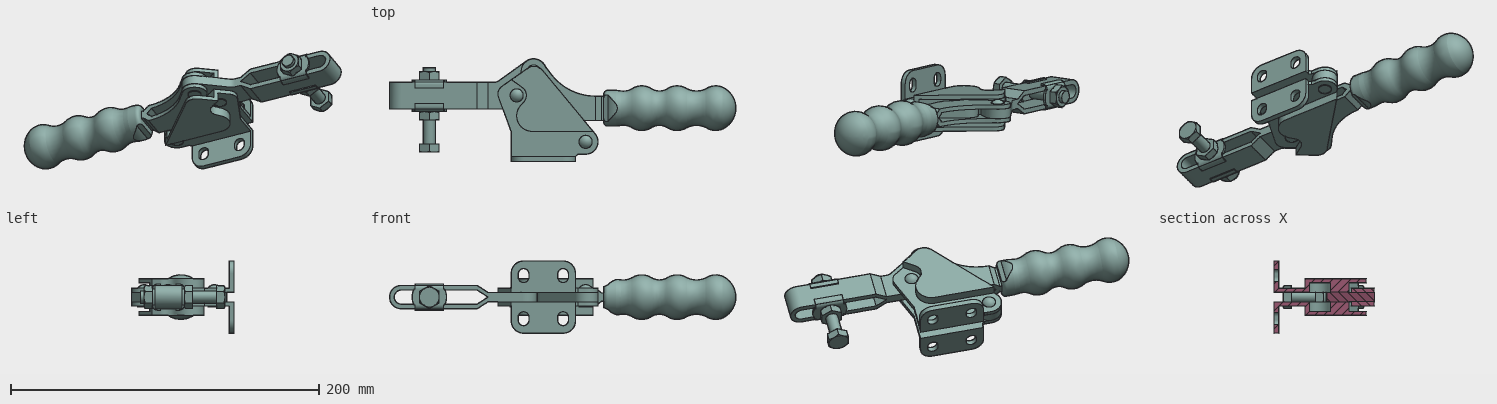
import cadquery as cq
import math

overall_length = 225.0
beyond = 135.0

arm_pivot = (82.5, 43.0)
base_pivot = (127.4, 12.8)
apex_pivot = (93.6, 58.5)
link_pivot = (104.2, 40.5)
rivet_radius = 2.7
head_radius = 4.3
head_height = 2.3
flat_head_height = 0.7

arm_half = 3.2
sheet = 2.7
sheet_top = arm_half + sheet
pad_top = 12.0

flange_left = 79.0
flange_right = 120.9
flange_thickness = 3.4
flange_width = 47.0
flange_corner = 8.0
slot_size = (9.0, 6.8)
slot_centers_x = (87.0, 112.8)
slot_center_z = 14.0
ear_radius = 8.0
base_apex = (93.9, 54.7, 7.2)
front_corner = (76.5, 43.9, 6.0)
front_edge_top = 19.4
relief = 1.5
pad_bottom = 19.5
pad_left = 82.5
pad_corner_radius = 10.1
pad_clearance = 6.3
pad_edge_start = (72.0, 58.5)
pad_far_corner = (139.5, 72.0)

arm_bottom = 34.0
arm_top = 51.5
strap_half = 7.7
strap_gap = strap_half - arm_half
arm_taper_start = 57.0
arm_taper_end = 64.0
arm_heel_radius = 8.8
arm_back = 95.7
arm_back_top = 46.1
arm_apex_radius = 8.3
arm_bend = (68.0, 5.2)

bar_bottom = 26.5
bar_top = 42.5
bar_end = 148.5
bar_eye_radius = 8.0
bar_sweep = (133.7, 36.0)
bar_corner = 112.5
bar_taper_start = 134.0
bar_taper_end = 137.7
bar_gap_end = 135.0

grip_axis_y = 34.7
grip_start = 139.0
collar_radius = 11.7
collar_end = 147.2
collar_round = 2.7
neck_radius = 11.3
first_neck = 150.5
bulge_radius = 14.6
bulge_edge_radius = 12.5
bulge_half_length = 6.5
bulge_centers = (163.8, 186.8, 212.0)
dome_start = 216.5
dome_radius = 15.0
flat_start_z = 6.8
flat_bend = (142.0, 8.0)
flat_curve_middle = (145.2, 10.5)
flat_end = (148.5, collar_radius)

spindle_x = 25.9
spindle_radius = 4.0
spindle_bottom = 6.0
spindle_top = 61.0
hex_radius = 7.5
hex_inner_radius = hex_radius * math.cos(math.pi / 6)
hex_bevel_height = 0.7
hex_height = 5.5
washer_radius = 11.3
washer_thickness = 1.5
washer_half = 8.5
washer_tab_length = 18.5
washer_tab_overlap = 3.8
washer_bend_radius = 3.4


def belt(discs):
    """Closed counter-clockwise outline around discs (x, y, radius), joined by tangent lines.

    A radius of zero is a sharp corner; a negative radius is a hollow that the outline
    passes on its other side.
    """
    headings = []
    for i, (x1, y1, r1) in enumerate(discs):
        x2, y2, r2 = discs[(i + 1) % len(discs)]
        distance = math.hypot(x2 - x1, y2 - y1)
        headings.append(math.atan2(y2 - y1, x2 - x1) + math.asin((r1 - r2) / distance))

    def on_disc(disc, heading):
        x, y, radius = disc
        return (x + radius * math.sin(heading), y - radius * math.cos(heading))

    outline = cq.Workplane("XY").moveTo(*on_disc(discs[0], headings[-1]))
    for i, disc in enumerate(discs):
        before = headings[i - 1]
        after = headings[i]
        if i > 0:
            outline = outline.lineTo(*on_disc(disc, before))
        if disc[2] != 0:
            side = math.copysign(1, disc[2])
            turn = side * ((side * (after - before)) % (2 * math.pi))
            outline = outline.threePointArc(on_disc(disc, before + turn / 2), on_disc(disc, after))
    return outline.close().val()


def layer(outline, bottom, top):
    """Plate of the given outline between two heights."""
    plate = cq.Workplane("XY").add(outline).toPending().extrude(top - bottom)
    return plate.translate((0, 0, bottom))


def both_sides(body):
    return body.union(body.mirror("XY"))


def rivet(pivot):
    """Shank with a domed head on the upper sheet face and a flat head on the lower one."""
    cap_radius = (head_radius**2 + head_height**2) / (2 * head_height)
    flat_bottom = -sheet_top - flat_head_height
    body = (
        cq.Workplane("XZ")
        .moveTo(0, flat_bottom)
        .lineTo(head_radius, flat_bottom)
        .lineTo(head_radius, -sheet_top)
        .lineTo(rivet_radius, -sheet_top)
        .lineTo(rivet_radius, sheet_top)
        .lineTo(head_radius, sheet_top)
        .radiusArc((0, sheet_top + head_height), -cap_radius)
        .close()
        .revolve(360, (0, 0), (0, 1))
    )
    return body.translate((*pivot, 0))


def rivet_hole(pivot):
    return cq.Workplane("XY").center(*pivot).circle(rivet_radius).extrude(beyond, both=True)


def side_profile(points):
    """Prism along Y of a profile in X and Z."""
    return cq.Workplane("XZ").polyline(points).close().extrude(beyond, both=True)


def make_base():
    outline = belt([
        (flange_left, 0, 0),
        (flange_right, 0, 0),
        (flange_right, flange_thickness, 0),
        (flange_right + relief, base_pivot[1] - ear_radius, 0),
        (*base_pivot, ear_radius),
        base_apex,
        front_corner,
        (flange_left, front_edge_top, 0),
    ])
    pad_area = belt([
        (pad_left + pad_corner_radius, pad_bottom + pad_corner_radius, pad_corner_radius),
        (pad_far_corner[0], pad_bottom, 0),
        (*pad_far_corner, 0),
        (pad_edge_start[0], pad_far_corner[1], 0),
        (*pad_edge_start, 0),
        (*arm_pivot, -pad_clearance),
    ])
    block = layer(outline, arm_half, pad_top)
    above_low_area = layer(outline, sheet_top, pad_top).cut(layer(pad_area, 0, pad_top))
    under_pad = layer(pad_area.offset2D(-sheet)[0], arm_half, pad_top - sheet)
    side = block.cut(above_low_area).cut(under_pad)

    flange = (
        cq.Workplane("XY")
        .box(flange_right - flange_left, flange_thickness, flange_width)
        .edges("|Y")
        .fillet(flange_corner)
        .translate(((flange_left + flange_right) / 2, flange_thickness / 2, 0))
    )
    gap = cq.Workplane("XY").box(4 * beyond, 4 * beyond, 2 * arm_half)
    slots = (
        cq.Workplane("XZ")
        .pushPoints([(x, z) for x in slot_centers_x for z in (-slot_center_z, slot_center_z)])
        .slot2D(*slot_size, angle=90)
        .extrude(-flange_thickness)
    )
    base = both_sides(side).union(flange.cut(gap).cut(slots))
    return base.union(rivet(arm_pivot)).union(rivet(base_pivot))


def make_arm():
    bend_x, bend_radius = arm_bend
    outline = belt([
        (0, arm_bottom, 0),
        (arm_back - arm_heel_radius, arm_bottom + arm_heel_radius, arm_heel_radius),
        (arm_back, arm_back_top, 0),
        (*apex_pivot, arm_apex_radius),
        (bend_x, arm_top + bend_radius, -bend_radius),
        (0, arm_top, 0),
    ])
    strap = (
        cq.Workplane("XZ")
        .moveTo(strap_half, -strap_half)
        .lineTo(arm_taper_start, -strap_half)
        .lineTo(arm_taper_end, -arm_half)
        .lineTo(beyond, -arm_half)
        .lineTo(beyond, arm_half)
        .lineTo(arm_taper_end, arm_half)
        .lineTo(arm_taper_start, strap_half)
        .lineTo(strap_half, strap_half)
        .threePointArc((0, 0), (strap_half, -strap_half))
        .close()
        .extrude(beyond, both=True)
    )
    opening = (
        cq.Workplane("XZ")
        .moveTo(strap_half, -strap_gap)
        .lineTo(arm_taper_start, -strap_gap)
        .lineTo(arm_taper_end, 0)
        .lineTo(arm_taper_start, strap_gap)
        .lineTo(strap_half, strap_gap)
        .threePointArc((arm_half, 0), (strap_half, -strap_gap))
        .close()
        .extrude(beyond, both=True)
    )
    arm = layer(outline, -strap_half, strap_half).intersect(strap).cut(opening)
    return arm.cut(rivet_hole(arm_pivot)).cut(rivet_hole(apex_pivot))


def make_link():
    outline = belt([(*base_pivot, ear_radius), (*link_pivot, ear_radius)])
    return layer(outline, -arm_half, arm_half).cut(rivet_hole(base_pivot))


def make_bar():
    sweep_x, sweep_radius = bar_sweep
    outline = belt([
        (bar_corner, bar_bottom, 0),
        (bar_end, bar_bottom, 0),
        (bar_end, bar_top, 0),
        (sweep_x, bar_top + sweep_radius, -sweep_radius),
        (*apex_pivot, bar_eye_radius),
        (*link_pivot, bar_eye_radius),
    ])
    sheets = side_profile([
        (0, -sheet_top),
        (bar_taper_start, -sheet_top),
        (bar_taper_end, -sheet),
        (bar_end, -sheet),
        (bar_end, sheet),
        (bar_taper_end, sheet),
        (bar_taper_start, sheet_top),
        (0, sheet_top),
    ])
    gap_narrows = bar_gap_end - arm_half
    between = side_profile([
        (0, -arm_half),
        (gap_narrows, -arm_half),
        (bar_gap_end, 0),
        (gap_narrows, arm_half),
        (0, arm_half),
    ])
    return layer(outline, -sheet_top, sheet_top).intersect(sheets).cut(between).union(rivet(apex_pivot))


def make_grip():
    profile = (
        cq.Workplane("XY")
        .moveTo(grip_start, 0)
        .lineTo(grip_start, collar_radius - collar_round)
        .radiusArc((grip_start + collar_round, collar_radius), collar_round)
        .lineTo(collar_end, collar_radius)
        .lineTo(first_neck, neck_radius)
    )
    for i, center in enumerate(bulge_centers):
        start = (center - bulge_half_length, bulge_edge_radius)
        if i == 0:
            profile = profile.tangentArcPoint(start, relative=False)
        else:
            neck = (bulge_centers[i - 1] + center) / 2
            profile = profile.threePointArc((neck, neck_radius), start)
        if i < len(bulge_centers) - 1:
            end = (center + bulge_half_length, bulge_edge_radius)
        else:
            dome_center = overall_length - dome_radius
            end = (dome_start, math.sqrt(dome_radius**2 - (dome_start - dome_center) ** 2))
        profile = profile.threePointArc((center, bulge_radius), end)
    dome_middle = dome_radius * math.sqrt(0.5)
    profile = profile.threePointArc((dome_center + dome_middle, dome_middle), (overall_length, 0)).close()
    grip = profile.revolve(360, (0, 0), (1, 0)).translate((0, grip_axis_y, 0))

    flat = (
        cq.Workplane("XZ")
        .moveTo(grip_start, flat_start_z)
        .lineTo(*flat_bend)
        .threePointArc(flat_curve_middle, flat_end)
        .lineTo(flat_end[0], beyond)
        .lineTo(grip_start, beyond)
        .close()
        .extrude(beyond, both=True)
    )
    return grip.cut(both_sides(flat))


def upright(body, y):
    return body.translate((spindle_x, y, 0))


def nut():
    """Hexagonal prism standing on Y = 0, with the corners of its upper end bevelled."""
    prism = cq.Workplane("XZ").polygon(6, 2 * hex_radius).extrude(-hex_height)
    prism = prism.rotate((0, 0, 0), (0, 1, 0), 90)
    bevel_bottom = hex_height - hex_bevel_height
    envelope = (
        cq.Workplane("XY")
        .polyline([
            (0, 0),
            (hex_radius, 0),
            (hex_radius, bevel_bottom),
            (hex_inner_radius, hex_height),
            (0, hex_height),
        ])
        .close()
        .revolve(360, (0, 0), (0, 1))
    )
    return prism.intersect(envelope)


def washer():
    """Flanged washer lying on Y = 0, with its tabs reaching upwards over the sides of the arm."""
    height = washer_thickness + washer_tab_overlap
    disc = cq.Workplane("XZ").circle(washer_radius).extrude(-washer_thickness)
    flat_half = washer_half - washer_bend_radius
    disc = disc.intersect(cq.Workplane("XY").box(4 * washer_radius, 4 * height, 2 * flat_half))
    channel = (
        cq.Workplane("XY")
        .box(washer_tab_length, height, 2 * washer_half)
        .translate((0, height / 2, 0))
        .edges("|X and <Y")
        .fillet(washer_bend_radius)
    )
    arm_room = cq.Workplane("XY").box(4 * washer_radius, 2 * washer_tab_overlap, 2 * strap_half)
    return disc.union(channel).cut(arm_room.translate((0, washer_thickness + washer_tab_overlap, 0)))


def make_spindle():
    shank = cq.Workplane("XZ").circle(spindle_radius).extrude(spindle_bottom - spindle_top)
    spindle = upright(shank, spindle_bottom)
    lower_face = arm_bottom - washer_thickness
    upper_face = arm_top + washer_thickness
    head = nut().mirror("XZ")
    spindle = spindle.union(upright(head, spindle_bottom + hex_height))
    for bottom in (lower_face - hex_height, upper_face):
        spindle = spindle.union(upright(nut(), bottom))
    spindle = spindle.union(upright(washer(), lower_face))
    return spindle.union(upright(washer().mirror("XZ"), upper_face))


base = make_base()
arm = make_arm()
link = make_link()
handle = make_bar().union(make_grip())
spindle = make_spindle()
result = cq.Compound.makeCompound([
    base.val(), arm.val(), link.val(), handle.val(), spindle.val(),
])